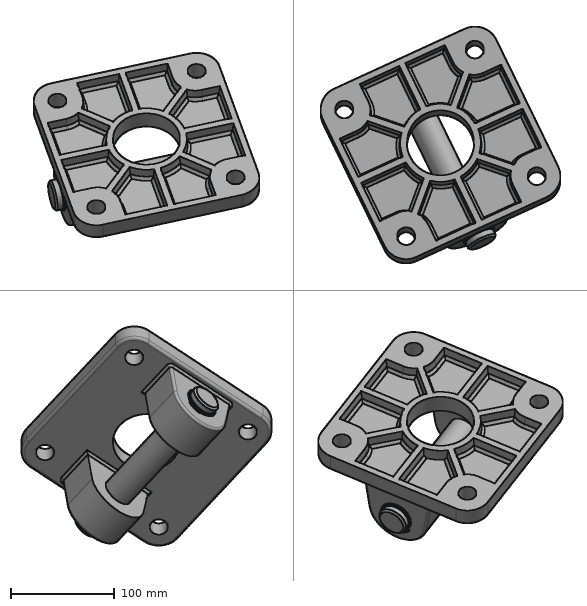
import math

import cadquery as cq

PLATE_SIDE = 186.0
PLATE_THICKNESS = 20.0
PLATE_CORNER_RADIUS = 23.0
PLATE_EDGE_FILLET = 3.0
CENTRE_HOLE_DIAMETER = 65.0
BOLT_HOLE_DIAMETER = 17.5
BOLT_SPACING = PLATE_SIDE - 2 * PLATE_CORNER_RADIUS

RIB_WIDTH = 6.5
POCKET_DEPTH = 12.0
POCKET_DRAFT = 5.5
POCKET_FLOOR_CHAMFER = 2.75
BOSS_RADIUS = 22.5
BOSS_OFFSET = 68.0

EAR_THICKNESS = 40.0
EAR_SPAN = 170.0
EAR_TIP_RADIUS = 32.0
EAR_SIDE_ANGLE = 8.0
EAR_EDGE_FILLET = 2.5
EAR_BASE_CHAMFER = 2.5

JOINT_TOLERANCE = 0.1

PIN_DIAMETER = 30.0
PIN_LENGTH = 191.0
PIN_CHAMFER = 2.0
PIN_AXIS_Z = -55.0
GROOVE_DIAMETER = 28.6
RING_THICKNESS = 1.5
RING_EAR_GAP = 1.2
RING_OUTER_RADIUS = 16.5
RING_LUG_RADIUS = 19.0
RING_LUG_HALF_ANGLE = 22.0
RING_GAP_WIDTH = 1.2
RING_GAP_DIRECTION = 241.0
RING_HOLE_DIAMETER = 2.0
RING_HOLE_HALF_ANGLE = 13.5

RING_INNER_Y = EAR_SPAN / 2 + RING_EAR_GAP


def polar(radius, degrees):
    """Point at a radius and an angle from the first axis of the sketch plane."""
    angle = math.radians(degrees)
    return (radius * math.cos(angle), radius * math.sin(angle))


def cylinder_along_y(diameter, start_y, length):
    """Cylinder on the pin axis, from start_y towards +Y."""
    centre = (0, start_y, PIN_AXIS_Z)
    plane = cq.Plane(origin=centre, xDir=(-1, 0, 0), normal=(0, 1, 0))
    return cq.Workplane(plane).circle(diameter / 2).extrude(length)


def make_pocket(hub_chamfered=True):
    """Pocket beside the +Y rib, on its +X side, with drafted walls and a chamfered floor.

    The chamfer can be left out along the wall that curves round the centre hole.
    """
    half_rib = RIB_WIDTH / 2
    outer_y = PLATE_SIDE / 2 - RIB_WIDTH
    outer_x = BOSS_OFFSET - BOSS_RADIUS
    hub_radius = CENTRE_HOLE_DIAMETER / 2 + RIB_WIDTH

    hub_rib_angle = math.degrees(math.acos(half_rib / hub_radius))
    hub_diagonal_angle = 45 + math.degrees(math.asin(half_rib / hub_radius))
    hub_middle_angle = (hub_rib_angle + hub_diagonal_angle) / 2

    tip_angle = 225 - math.degrees(math.asin(half_rib / BOSS_RADIUS))

    def boss_point(degrees):
        x, y = polar(BOSS_RADIUS, degrees)
        return (BOSS_OFFSET + x, BOSS_OFFSET + y)

    pocket = (
        cq.Workplane("XY")
        .moveTo(half_rib, outer_y)
        .lineTo(outer_x, outer_y)
        .lineTo(outer_x, BOSS_OFFSET)
        .threePointArc(boss_point((180 + tip_angle) / 2), boss_point(tip_angle))
        .lineTo(*polar(hub_radius, hub_diagonal_angle))
        .threePointArc(polar(hub_radius, hub_middle_angle), polar(hub_radius, hub_rib_angle))
        .close()
        .extrude(-POCKET_DEPTH, taper=POCKET_DRAFT)
    )
    floor_edges = pocket.faces("<Z").edges()
    if not hub_chamfered:
        hub_edge = cq.selectors.NearestToPointSelector((0, 0, -POCKET_DEPTH))
        floor_edges = floor_edges.edges(cq.selectors.InverseSelector(hub_edge))
    return floor_edges.chamfer(POCKET_FLOOR_CHAMFER)


def make_ear():
    """Tapered ear on the -Y side with a round tip about the pin axis."""
    tangent_x, tangent_drop = polar(EAR_TIP_RADIUS, EAR_SIDE_ANGLE)
    tangent_z = PIN_AXIS_Z - tangent_drop
    slope = math.tan(math.radians(EAR_SIDE_ANGLE))
    base_x = tangent_x + (-PLATE_THICKNESS - tangent_z) * slope
    return (
        cq.Workplane("XZ", origin=(0, -EAR_SPAN / 2 + EAR_THICKNESS, 0))
        .moveTo(-base_x, -PLATE_THICKNESS)
        .lineTo(-tangent_x, tangent_z)
        .threePointArc((0, PIN_AXIS_Z - EAR_TIP_RADIUS), (tangent_x, tangent_z))
        .lineTo(base_x, -PLATE_THICKNESS)
        .close()
        .extrude(EAR_THICKNESS)
        .faces("<Y")
        .edges("not(>Z)")
        .fillet(EAR_EDGE_FILLET)
    )


def make_bracket():
    """Plate with its pockets, holes and two ears, in one solid."""
    bracket = (
        cq.Workplane("XY", origin=(0, 0, -PLATE_THICKNESS))
        .rect(PLATE_SIDE, PLATE_SIDE)
        .extrude(PLATE_THICKNESS)
        .edges("|Z")
        .fillet(PLATE_CORNER_RADIUS)
        .faces("<Z")
        .edges()
        .fillet(PLATE_EDGE_FILLET)
    )

    ear = make_ear()
    bracket = bracket.union(ear).union(ear.mirror("XZ"))

    inside_plate_edge = EAR_SPAN / 2 + EAR_BASE_CHAMFER
    joint_zone = cq.selectors.BoxSelector(
        (-inside_plate_edge, -inside_plate_edge, -PLATE_THICKNESS - JOINT_TOLERANCE),
        (inside_plate_edge, inside_plate_edge, -PLATE_THICKNESS + JOINT_TOLERANCE),
    )
    bracket = bracket.edges(joint_zone).chamfer(EAR_BASE_CHAMFER)

    pocket = make_pocket()
    mirrored_pocket = pocket.mirror("YZ")
    plain_hub_pocket = make_pocket(hub_chamfered=False).mirror("YZ")
    for turn in range(0, 360, 90):
        left_pocket = plain_hub_pocket if turn == 0 else mirrored_pocket
        for half in (pocket, left_pocket):
            bracket = bracket.cut(half.rotate((0, 0, 0), (0, 0, 1), turn))

    bolt_holes = (
        cq.Workplane("XY")
        .rect(BOLT_SPACING, BOLT_SPACING, forConstruction=True)
        .vertices()
        .circle(BOLT_HOLE_DIAMETER / 2)
        .extrude(-PLATE_THICKNESS)
    )
    centre_hole = cq.Workplane("XY").circle(CENTRE_HOLE_DIAMETER / 2).extrude(-PLATE_THICKNESS)
    pin_hole = cylinder_along_y(PIN_DIAMETER, -EAR_SPAN / 2, EAR_SPAN)
    return bracket.cut(bolt_holes).cut(centre_hole).cut(pin_hole)


def make_pin():
    """Pin with chamfered ends and a groove for each retaining ring."""
    pin = cylinder_along_y(PIN_DIAMETER, -PIN_LENGTH / 2, PIN_LENGTH)
    pin = pin.faces("<Y or >Y").chamfer(PIN_CHAMFER)
    for start_y in (RING_INNER_Y, -RING_INNER_Y - RING_THICKNESS):
        stock = cylinder_along_y(PIN_DIAMETER, start_y, RING_THICKNESS)
        core = cylinder_along_y(GROOVE_DIAMETER, start_y, RING_THICKNESS)
        pin = pin.cut(stock.cut(core))
    return pin


def make_retaining_ring():
    """Open ring at the -Y end, with a lug and a plier hole on each side of its gap."""
    plane = cq.Plane(origin=(0, -RING_INNER_Y, PIN_AXIS_Z), xDir=(1, 0, 0), normal=(0, -1, 0))
    plane = plane.rotated((0, 0, RING_GAP_DIRECTION))
    sketch = cq.Workplane(plane)

    band = sketch.circle(RING_OUTER_RADIUS).extrude(RING_THICKNESS)
    lugs = (
        sketch.lineTo(*polar(RING_LUG_RADIUS, -RING_LUG_HALF_ANGLE))
        .threePointArc((RING_LUG_RADIUS, 0), polar(RING_LUG_RADIUS, RING_LUG_HALF_ANGLE))
        .close()
        .extrude(RING_THICKNESS)
    )
    bore = sketch.circle(GROOVE_DIAMETER / 2).extrude(RING_THICKNESS)
    gap = (
        sketch.center(RING_LUG_RADIUS / 2, 0)
        .rect(RING_LUG_RADIUS + RING_GAP_WIDTH, RING_GAP_WIDTH)
        .extrude(RING_THICKNESS)
    )
    hole_radius = (GROOVE_DIAMETER / 2 + RING_LUG_RADIUS) / 2
    hole_points = [polar(hole_radius, side * RING_HOLE_HALF_ANGLE) for side in (-1, 1)]
    plier_holes = sketch.pushPoints(hole_points).circle(RING_HOLE_DIAMETER / 2).extrude(RING_THICKNESS)
    return band.union(lugs).cut(bore).cut(gap).cut(plier_holes)


bracket = make_bracket()
pin = make_pin()
retaining_ring = make_retaining_ring()
retaining_rings = [retaining_ring, retaining_ring.mirror("XZ")]

result = cq.Compound.makeCompound(
    [bracket.val(), pin.val(), *[ring.val() for ring in retaining_rings]]
)